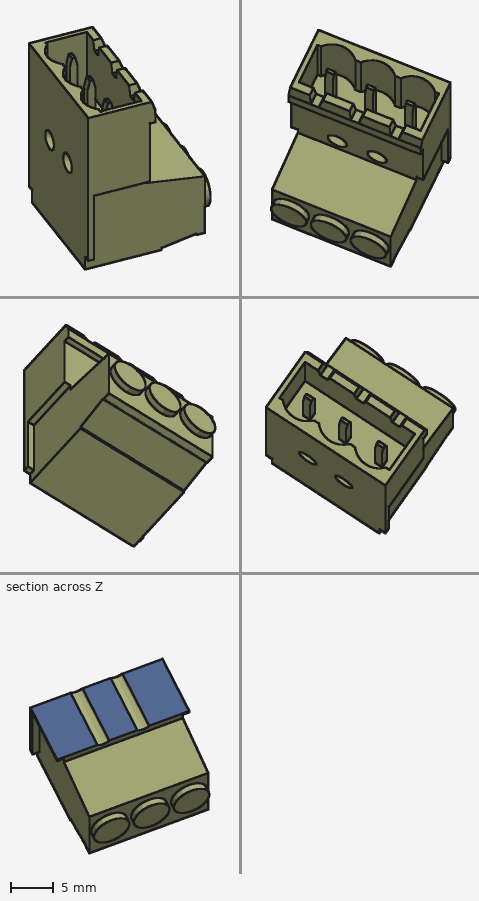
import cadquery as cq


pole_pitch = 5.08
pole_positions = [-pole_pitch, 0, pole_pitch]

total_height = 22
shroud_width = 16.85
shroud_bottom = 10.78
shroud_back = 7.88
front_plate_thickness = 0.75
front_plate_bottom = 1.75

latch_back = 8.6
latch_bottom = 18.99
latch_bevel_bottom = 20.7
latch_top_back = 8.15

block_width = 15.14
block_back = 15.31
block_top = 10.03
block_back_top = 8.87
block_back_bottom = 0.84
lip_length = 1.08
lip_step = 0.2
foot_length = 9.8
foot_step = 0.26

total_depth = 16.15
screw_diameter = 4.5
screw_height = 5.52

socket_width = 15.49
socket_front = 1.85
socket_back = 7.1
socket_floor = 14.0
bay_width = 4.35
bay_front = 0.84

pin_size = 1.0
pin_center = 4.0
pin_top = 21.19
pin_tip_thickness = 0.4
pin_taper_length = 1.17

notch_floor_width = 1.0
notch_top_width = 1.67
notch_floor = latch_bevel_bottom

hole_diameter = 2.42
hole_height = 11.97


def side_profile(points, width):
    """Extrude a closed (y, z) outline symmetrically across the part's width."""
    return cq.Workplane("YZ").polyline(points).close().extrude(width / 2, both=True)


def make_shroud():
    return side_profile(
        [
            (0, front_plate_bottom),
            (front_plate_thickness, front_plate_bottom),
            (front_plate_thickness, shroud_bottom),
            (shroud_back, shroud_bottom),
            (shroud_back, latch_bottom),
            (latch_back, latch_bottom),
            (latch_back, latch_bevel_bottom),
            (latch_top_back, total_height),
            (0, total_height),
        ],
        shroud_width,
    )


def make_terminal_block():
    lip_front = block_back - lip_length
    return side_profile(
        [
            (0, 0),
            (foot_length, 0),
            (foot_length, foot_step),
            (lip_front, block_back_bottom + lip_step),
            (lip_front, block_back_bottom),
            (block_back, block_back_bottom),
            (block_back, block_back_top),
            (shroud_back, block_top),
            (shroud_back, shroud_bottom),
            (0, shroud_bottom),
        ],
        block_width,
    )


def make_screw_head(x):
    return (
        cq.Workplane("XZ", origin=(x, total_depth, screw_height))
        .circle(screw_diameter / 2)
        .extrude(total_depth - block_back)
    )


def make_socket():
    outline = cq.Workplane("XY", origin=(0, 0, socket_floor)).moveTo(-socket_width / 2, socket_front)
    for x in pole_positions:
        outline = outline.lineTo(x - bay_width / 2, socket_front)
        outline = outline.threePointArc((x, bay_front), (x + bay_width / 2, socket_front))
    return (
        outline.lineTo(socket_width / 2, socket_front)
        .lineTo(socket_width / 2, socket_back)
        .lineTo(-socket_width / 2, socket_back)
        .close()
        .extrude(total_height - socket_floor)
    )


def make_pin(x):
    front = pin_center - pin_size / 2
    back = pin_center + pin_size / 2
    taper_bottom = pin_top - pin_taper_length
    outline = [
        (front, socket_floor),
        (back, socket_floor),
        (back, taper_bottom),
        (pin_center + pin_tip_thickness / 2, pin_top),
        (pin_center - pin_tip_thickness / 2, pin_top),
        (front, taper_bottom),
    ]
    return side_profile(outline, pin_size).translate((x, 0, 0))


def make_notch(x):
    return (
        cq.Workplane("XZ", origin=(x, latch_back, 0))
        .polyline(
            [
                (-notch_floor_width / 2, notch_floor),
                (notch_floor_width / 2, notch_floor),
                (notch_top_width / 2, total_height),
                (-notch_top_width / 2, total_height),
            ]
        )
        .close()
        .extrude(latch_back - socket_back)
    )


def make_through_hole(x):
    return (
        cq.Workplane("XZ", origin=(x, shroud_back, hole_height))
        .circle(hole_diameter / 2)
        .extrude(shroud_back)
    )


result = make_shroud().union(make_terminal_block()).cut(make_socket())

for pole_x in pole_positions:
    result = result.union(make_screw_head(pole_x))
    result = result.union(make_pin(pole_x))
    result = result.cut(make_notch(pole_x))

for hole_x in (-pole_pitch / 2, pole_pitch / 2):
    result = result.cut(make_through_hole(hole_x))